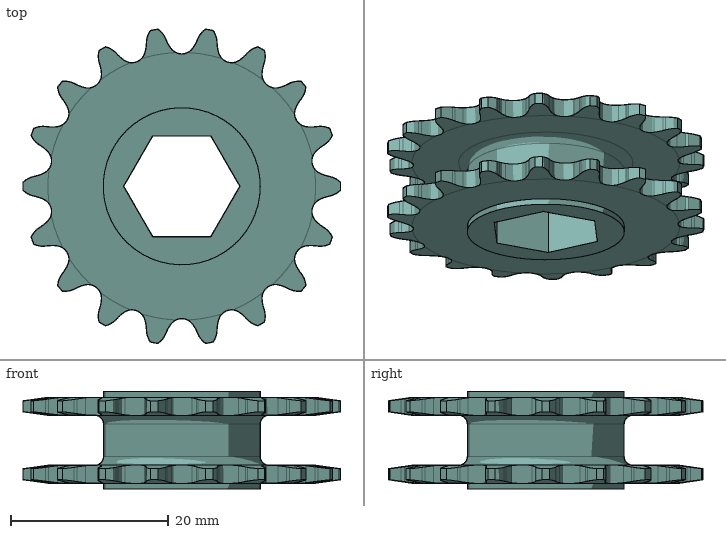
import cadquery as cq
import math

TOOTH_COUNT = 18
HALF_PITCH_ANGLE = math.pi / TOOTH_COUNT
TIP_RADIUS = 20.25
SEAT_CENTRE_RADIUS = 18.57
ROLLER_DIAMETER = 3.302
SEAT_RADIUS = 0.5025 * ROLLER_DIAMETER + 0.038
SEAT_END_ANGLE = math.radians(35 + 60 / TOOTH_COUNT)
WORKING_ARC_ANGLE = math.radians(18 - 56 / TOOTH_COUNT)
WORKING_CENTRE_DISTANCE = 0.8 * ROLLER_DIAMETER
TOPPING_CENTRE_DISTANCE = 1.4 * ROLLER_DIAMETER

PLATE_THICKNESS = 2.30
PLATE_GAP = 6.35
TIP_THICKNESS = 1.40
BEVEL_RADIUS = 17.05

HUB_RADIUS = 10.0
HUB_PROJECTION = 0.75
HUB_FILLET = 1.1
HEX_ACROSS_FLATS = 12.8

PLATE_OFFSET = (PLATE_GAP + PLATE_THICKNESS) / 2
HUB_HEIGHT = PLATE_GAP + 2 * (PLATE_THICKNESS + HUB_PROJECTION)


def point_on_circle(centre, radius, angle):
    return (centre[0] + radius * math.cos(angle), centre[1] + radius * math.sin(angle))


def rotate(point, angle):
    x, y = point
    return (
        x * math.cos(angle) - y * math.sin(angle),
        x * math.sin(angle) + y * math.cos(angle),
    )


def mirror(point):
    x, y = point
    return (-x, y)


def gap_side_points():
    """Points up the +X side of a tooth gap centred on +Y, from the roller seat to the tip."""
    seat_centre = (0, SEAT_CENTRE_RADIUS)
    seat_end = point_on_circle(seat_centre, SEAT_RADIUS, -SEAT_END_ANGLE)

    working_centre = point_on_circle(seat_centre, WORKING_CENTRE_DISTANCE, math.pi - SEAT_END_ANGLE)
    working_radius = SEAT_RADIUS + WORKING_CENTRE_DISTANCE
    flank_angle = WORKING_ARC_ANGLE - SEAT_END_ANGLE
    working_middle_angle = flank_angle - WORKING_ARC_ANGLE / 2
    working_middle = point_on_circle(working_centre, working_radius, working_middle_angle)
    flank_start = point_on_circle(working_centre, working_radius, flank_angle)

    topping_centre = point_on_circle(seat_centre, TOPPING_CENTRE_DISTANCE, -HALF_PITCH_ANGLE)
    to_topping_x = topping_centre[0] - flank_start[0]
    to_topping_y = topping_centre[1] - flank_start[1]
    topping_radius = to_topping_x * math.cos(flank_angle) + to_topping_y * math.sin(flank_angle)
    topping_start_angle = math.pi + flank_angle
    flank_end = point_on_circle(topping_centre, topping_radius, topping_start_angle)

    centre_distance = math.hypot(*topping_centre)
    along = (TIP_RADIUS**2 + centre_distance**2 - topping_radius**2) / (2 * centre_distance)
    corner_offset = math.acos(along / TIP_RADIUS)
    corner_angle = math.atan2(topping_centre[1], topping_centre[0]) + corner_offset
    tip_corner = point_on_circle((0, 0), TIP_RADIUS, corner_angle)
    topping_end_angle = math.atan2(tip_corner[1] - topping_centre[1], tip_corner[0] - topping_centre[0])
    topping_middle_angle = (topping_start_angle + topping_end_angle) / 2
    topping_middle = point_on_circle(topping_centre, topping_radius, topping_middle_angle)
    return (seat_end, working_middle, flank_start, flank_end, topping_middle, tip_corner)


def toothed_blank():
    """Toothed disc of full plate thickness, centred on the XY plane."""
    near_side = gap_side_points()
    far_side = [mirror(point) for point in near_side]
    seat_bottom = (0, SEAT_CENTRE_RADIUS - SEAT_RADIUS)
    tooth_tip = rotate((0, TIP_RADIUS), HALF_PITCH_ANGLE)
    next_tip_corner = rotate(near_side[-1], 2 * HALF_PITCH_ANGLE)

    outline = cq.Workplane("XY").workplane(offset=-PLATE_THICKNESS / 2).moveTo(*near_side[-1])
    for index in range(TOOTH_COUNT):
        angle = 2 * HALF_PITCH_ANGLE * index
        near = [rotate(point, angle) for point in near_side]
        far = [rotate(point, angle) for point in far_side]
        near_seat_end, near_working, near_flank_start, near_flank_end, near_topping, _ = near
        far_seat_end, far_working, far_flank_start, far_flank_end, far_topping, far_corner = far
        outline = (
            outline.threePointArc(near_topping, near_flank_end)
            .lineTo(*near_flank_start)
            .threePointArc(near_working, near_seat_end)
            .threePointArc(rotate(seat_bottom, angle), far_seat_end)
            .threePointArc(far_working, far_flank_start)
            .lineTo(*far_flank_end)
            .threePointArc(far_topping, far_corner)
            .threePointArc(rotate(tooth_tip, angle), rotate(next_tip_corner, angle))
        )
    return outline.close().extrude(PLATE_THICKNESS)


def bevel_envelope():
    """Revolved disc that is flat inside the bevel circle and tapers to the tips."""
    half_plate = PLATE_THICKNESS / 2
    half_tip = TIP_THICKNESS / 2
    return (
        cq.Workplane("XZ")
        .moveTo(0, -half_plate)
        .lineTo(BEVEL_RADIUS, -half_plate)
        .lineTo(TIP_RADIUS, -half_tip)
        .lineTo(TIP_RADIUS, half_tip)
        .lineTo(BEVEL_RADIUS, half_plate)
        .lineTo(0, half_plate)
        .close()
        .revolve(360, (0, 0, 0), (0, 1, 0))
    )


def hub():
    """Hub with concave fillets flaring out to the inner faces of the plates."""
    half_gap = PLATE_GAP / 2
    half_height = HUB_HEIGHT / 2
    flare_radius = HUB_RADIUS + HUB_FILLET
    fillet_start = half_gap - HUB_FILLET
    arc_inset = HUB_FILLET * (1 - math.sqrt(0.5))
    upper_middle = (HUB_RADIUS + arc_inset, half_gap - arc_inset)
    lower_middle = (HUB_RADIUS + arc_inset, arc_inset - half_gap)
    return (
        cq.Workplane("XZ")
        .moveTo(0, -half_height)
        .lineTo(HUB_RADIUS, -half_height)
        .lineTo(HUB_RADIUS, -PLATE_OFFSET)
        .lineTo(flare_radius, -PLATE_OFFSET)
        .lineTo(flare_radius, -half_gap)
        .threePointArc(lower_middle, (HUB_RADIUS, -fillet_start))
        .lineTo(HUB_RADIUS, fillet_start)
        .threePointArc(upper_middle, (flare_radius, half_gap))
        .lineTo(flare_radius, PLATE_OFFSET)
        .lineTo(HUB_RADIUS, PLATE_OFFSET)
        .lineTo(HUB_RADIUS, half_height)
        .lineTo(0, half_height)
        .close()
        .revolve(360, (0, 0, 0), (0, 1, 0))
    )


def hex_bore():
    """Through bore with two corners on the X axis."""
    across_corners = HEX_ACROSS_FLATS / math.cos(math.pi / 6)
    return (
        cq.Workplane("XY")
        .workplane(offset=-HUB_HEIGHT / 2)
        .polygon(6, across_corners)
        .extrude(HUB_HEIGHT)
    )


plate = toothed_blank().intersect(bevel_envelope())
body = hub()
for level in (-PLATE_OFFSET, PLATE_OFFSET):
    body = body.union(plate.translate((0, 0, level)))

result = body.cut(hex_bore())